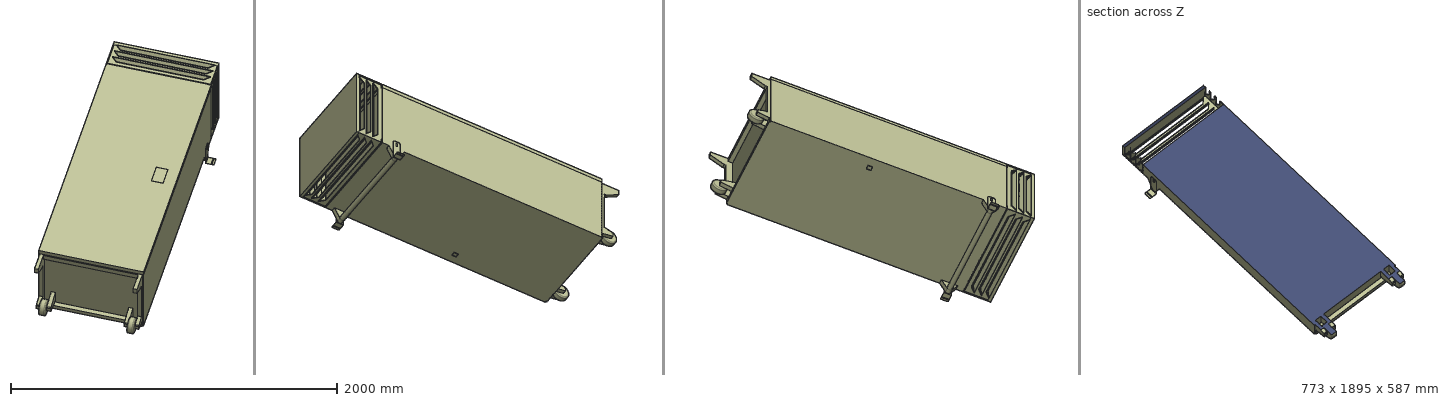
import cadquery as cq
import math

TOTAL_LENGTH = 1895.0
TOTAL_HEIGHT = 587.0
TOTAL_WIDTH = 773.0

CASE_WIDTH = 667.0
CASE_BOTTOM = 85.0
CASE_HEIGHT = TOTAL_HEIGHT - CASE_BOTTOM
CASE_START = 129.0
CASE_SIDE = CASE_WIDTH / 2

HOOD_LENGTH = 185.0
HOOD_START = TOTAL_LENGTH - HOOD_LENGTH
HOOD_WALL = 5.0
HOOD_END_WALL = 20.0
HOOD_GAP = 5.0
HOOD_GAP_DEPTH = 28.0

LOUVER_COUNT = 3
LOUVER_PITCH = 50.0
LOUVER_MARGIN = 20.0
LOUVER_HEIGHT = 35.0
LOUVER_ANGLE = 50.0
FLAP_THICKNESS = 2.0

DOOR_THICKNESS = 28.0
DOOR_BOTTOM = TOTAL_HEIGHT - DOOR_THICKNESS
LATCH_WIDTH = 74.0
LATCH_LENGTH = 115.0
LATCH_DEPTH = 2.0
LATCH_X = 222.0
LATCH_Y = 917.0

FRAME_INSET = 8.0
FRAME_PROUD = 8.0
FRAME_SIDE = CASE_SIDE - FRAME_INSET
FRAME_FACE = CASE_START - FRAME_PROUD
FRAME_TOP_RAIL = 35.0
FRAME_BOTTOM_RAIL = 28.0
PANEL_Y = 152.0

PLATE_THICKNESS = 25.0
PLATE_INNER_SIDE = FRAME_SIDE - PLATE_THICKNESS
POST_Y = 108.0
HANDLE_TIP_Y = 4.0
HANDLE_TIP_HEIGHT = 36.0
HANDLE_ROOT_Y = 95.0
HANDLE_ROOT_HEIGHT = 85.0

WHEEL_RADIUS = 51.0
WHEEL_WIDTH = 42.0
WHEEL_ROUNDING = 8.0
WHEEL_Z = 161.0

FORK_INNER_THICKNESS = 27.0
FORK_TIP_Y = 44.0
FORK_TIP_TOP = 175.0
FORK_TIP_BOTTOM = 144.0
FORK_TOP_SLOPE = 0.26
FORK_BOTTOM_SLOPE = 0.2
FORK_TIP_CHAMFER = 5.0

FOOT_Y = 1606.0
STRAP_WIDTH = 51.0
STRAP_THICKNESS = 2.0
STRAP_TOP = 144.0
STRAP_ROUNDING = 15.0
STRAP_SLOT_WIDTH = 11.0
STRAP_SLOT_HEIGHT = 23.0
STRAP_SLOT_Z = 117.0
FOOT_ROUNDING = 5.0
FOOT_GROOVE_WIDTH = 5.0
FOOT_GROOVE_DEPTH = STRAP_THICKNESS / 2
FOOT_GROOVE_OFFSET = 13.0

GUSSET_THICKNESS = 28.0
GUSSET_HALF_WIDTH = 55.0
ROD_RADIUS = 17.0
ROD_Z = 20.0

STUD_X = 265.0
STUD_Y = 818.0
STUD_WIDTH = 27.0
STUD_LENGTH = 30.0
STUD_HEIGHT = 5.0


def block(x_range, y_range, z_range):
    """Axis-aligned box between the given limits."""
    low = [min(limits) for limits in (x_range, y_range, z_range)]
    size = [max(limits) - min(limits) for limits in (x_range, y_range, z_range)]
    return cq.Workplane("XY").box(*size, centered=False).translate(tuple(low))


def side_plate(points, x_start, x_end):
    """Plate with a (Y, Z) outline, between two X positions."""
    low = min(x_start, x_end)
    return cq.Workplane("YZ", origin=(low, 0, 0)).polyline(points).close().extrude(abs(x_end - x_start))


def louver_sheet(length, thickness):
    """Trapezoid hinged on its long edge along X, reaching toward -Y, just below Z = 0."""
    outline = [
        (-length / 2, 0),
        (length / 2, 0),
        (length / 2 - LOUVER_HEIGHT, -LOUVER_HEIGHT),
        (-length / 2 + LOUVER_HEIGHT, -LOUVER_HEIGHT),
    ]
    return cq.Workplane("XY").polyline(outline).close().extrude(-thickness)


def make_hood():
    """Open-backed hood with pressed louvers on its top, bottom and both sides."""
    middle_z = CASE_BOTTOM + CASE_HEIGHT / 2
    hood = block((-CASE_SIDE, CASE_SIDE), (HOOD_START, TOTAL_LENGTH), (CASE_BOTTOM, TOTAL_HEIGHT))
    cavity = block(
        (-CASE_SIDE + HOOD_WALL, CASE_SIDE - HOOD_WALL),
        (HOOD_START, TOTAL_LENGTH - HOOD_END_WALL),
        (CASE_BOTTOM + HOOD_WALL, TOTAL_HEIGHT - HOOD_WALL),
    )
    hood = hood.cut(cavity)

    for gap_bottom in (CASE_BOTTOM, TOTAL_HEIGHT - HOOD_GAP_DEPTH):
        gap = block(
            (-CASE_SIDE, CASE_SIDE),
            (HOOD_START, HOOD_START + HOOD_GAP),
            (gap_bottom, gap_bottom + HOOD_GAP_DEPTH),
        )
        hood = hood.cut(gap)

    walls = [
        (0, CASE_WIDTH, CASE_HEIGHT / 2),
        (90, CASE_HEIGHT, CASE_SIDE),
        (180, CASE_WIDTH, CASE_HEIGHT / 2),
        (270, CASE_HEIGHT, CASE_SIDE),
    ]
    for turn, breadth, distance in walls:
        length = breadth - 2 * LOUVER_MARGIN
        for index in range(LOUVER_COUNT):
            hinge = (0, TOTAL_LENGTH - HOOD_END_WALL - index * LOUVER_PITCH, distance)
            opening = louver_sheet(length, HOOD_WALL).translate(hinge)
            flap = louver_sheet(length, FLAP_THICKNESS)
            flap = flap.rotate((0, 0, 0), (1, 0, 0), LOUVER_ANGLE).translate(hinge)
            opening = opening.rotate((0, 0, 0), (0, 1, 0), turn).translate((0, 0, middle_z))
            flap = flap.rotate((0, 0, 0), (0, 1, 0), turn).translate((0, 0, middle_z))
            hood = hood.cut(opening).union(flap)
    return hood


def make_door():
    """Flat door with a shallow latch recess."""
    door = block((-CASE_SIDE, CASE_SIDE), (CASE_START, HOOD_START), (DOOR_BOTTOM, TOTAL_HEIGHT))
    latch = cq.Workplane("XY").box(LATCH_WIDTH, LATCH_LENGTH, LATCH_DEPTH)
    return door.cut(latch.translate((LATCH_X, LATCH_Y, TOTAL_HEIGHT - LATCH_DEPTH / 2)))


def make_shell():
    """Cabinet block with the proud end frame around its recessed panel."""
    shell = block((-CASE_SIDE, CASE_SIDE), (CASE_START, HOOD_START), (CASE_BOTTOM, DOOR_BOTTOM))
    frame = block((-FRAME_SIDE, FRAME_SIDE), (FRAME_FACE, CASE_START), (CASE_BOTTOM, DOOR_BOTTOM))
    recess = block(
        (-PLATE_INNER_SIDE, PLATE_INNER_SIDE),
        (FRAME_FACE, PANEL_Y),
        (CASE_BOTTOM + FRAME_BOTTOM_RAIL, DOOR_BOTTOM - FRAME_TOP_RAIL),
    )
    stud = block(
        (STUD_X - STUD_WIDTH / 2, STUD_X + STUD_WIDTH / 2),
        (STUD_Y - STUD_LENGTH / 2, STUD_Y + STUD_LENGTH / 2),
        (CASE_BOTTOM - STUD_HEIGHT, CASE_BOTTOM),
    )
    return shell.union(frame).cut(recess).union(stud)


def fork_top(y):
    """Height of a caster fork's upper edge at depth y."""
    return FORK_TIP_TOP + FORK_TOP_SLOPE * (y - FORK_TIP_Y)


def fork_bottom(y):
    """Height of a caster fork's lower edge at depth y."""
    return FORK_TIP_BOTTOM - FORK_BOTTOM_SLOPE * (y - FORK_TIP_Y)


def make_handle_plate(side):
    """Outer plate: carrying arm at the top, post, and outer caster fork at the bottom."""
    outline = [
        (FRAME_FACE, DOOR_BOTTOM),
        (HANDLE_TIP_Y, DOOR_BOTTOM),
        (HANDLE_TIP_Y, DOOR_BOTTOM - HANDLE_TIP_HEIGHT),
        (HANDLE_ROOT_Y, DOOR_BOTTOM - HANDLE_ROOT_HEIGHT),
        (POST_Y, DOOR_BOTTOM - HANDLE_ROOT_HEIGHT),
        (POST_Y, fork_top(POST_Y)),
        (FORK_TIP_Y + FORK_TIP_CHAMFER, FORK_TIP_TOP),
        (FORK_TIP_Y, FORK_TIP_TOP - FORK_TIP_CHAMFER),
        (FORK_TIP_Y, FORK_TIP_BOTTOM),
        (FRAME_FACE, fork_bottom(FRAME_FACE)),
    ]
    return side_plate(outline, side * PLATE_INNER_SIDE, side * FRAME_SIDE)


def make_inner_fork(side):
    """Inner caster fork, standing on the recessed panel."""
    outline = [
        (PANEL_Y, fork_top(PANEL_Y)),
        (FORK_TIP_Y + FORK_TIP_CHAMFER, FORK_TIP_TOP),
        (FORK_TIP_Y, FORK_TIP_TOP - FORK_TIP_CHAMFER),
        (FORK_TIP_Y, FORK_TIP_BOTTOM),
        (PANEL_Y, fork_bottom(PANEL_Y)),
    ]
    outer_face = PLATE_INNER_SIDE - WHEEL_WIDTH
    return side_plate(outline, side * outer_face, side * (outer_face - FORK_INNER_THICKNESS))


def make_wheel(side):
    """Wheel with rounded shoulders, filling the space between its two forks."""
    wheel = cq.Workplane("YZ").circle(WHEEL_RADIUS).extrude(WHEEL_WIDTH)
    wheel = wheel.edges().fillet(WHEEL_ROUNDING)
    center_x = side * (PLATE_INNER_SIDE - WHEEL_WIDTH / 2)
    return wheel.translate((center_x - WHEEL_WIDTH / 2, WHEEL_RADIUS, WHEEL_Z))


def make_gusset(side):
    """Tapered gusset whose flanks run tangent into the round of the cross rod."""
    drop = CASE_BOTTOM - ROD_Z
    reach = math.hypot(GUSSET_HALF_WIDTH, drop)
    tangent = math.acos(ROD_RADIUS / reach) - math.atan2(drop, GUSSET_HALF_WIDTH)
    touch_y = ROD_RADIUS * math.cos(tangent)
    touch_z = ROD_Z - ROD_RADIUS * math.sin(tangent)
    inner_face = CASE_SIDE - GUSSET_THICKNESS
    start = min(side * inner_face, side * CASE_SIDE)
    return (
        cq.Workplane("YZ", origin=(start, FOOT_Y, 0))
        .moveTo(-GUSSET_HALF_WIDTH, CASE_BOTTOM)
        .lineTo(-touch_y, touch_z)
        .threePointArc((0, ROD_Z - ROD_RADIUS), (touch_y, touch_z))
        .lineTo(GUSSET_HALF_WIDTH, CASE_BOTTOM)
        .close()
        .extrude(GUSSET_THICKNESS)
    )


def make_cross_rod():
    """Round rod joining the two gussets."""
    half_length = CASE_SIDE - GUSSET_THICKNESS
    rod = cq.Workplane("YZ").circle(ROD_RADIUS).extrude(2 * half_length)
    return rod.translate((-half_length, FOOT_Y, ROD_Z))


def make_foot(side):
    """Bent strap on the cabinet's side, turned outward at the floor."""
    y_range = (FOOT_Y - STRAP_WIDTH / 2, FOOT_Y + STRAP_WIDTH / 2)
    strap_face = CASE_SIDE + STRAP_THICKNESS
    foot_end = TOTAL_WIDTH / 2

    strap = block((CASE_SIDE, strap_face), y_range, (0, STRAP_TOP))
    strap = strap.edges("|X and >Z").fillet(STRAP_ROUNDING)
    slot = cq.Workplane("XY").box(2 * STRAP_THICKNESS, STRAP_SLOT_WIDTH, STRAP_SLOT_HEIGHT)
    strap = strap.cut(slot.translate((strap_face, FOOT_Y, STRAP_SLOT_Z)))

    flange = block((CASE_SIDE, foot_end), y_range, (0, STRAP_THICKNESS))
    flange = flange.edges("|Z and >X").fillet(FOOT_ROUNDING)
    groove_end = foot_end - FOOT_GROOVE_OFFSET
    groove = block(
        (groove_end - FOOT_GROOVE_WIDTH, groove_end),
        y_range,
        (STRAP_THICKNESS - FOOT_GROOVE_DEPTH, STRAP_THICKNESS),
    )
    foot = strap.union(flange.cut(groove))
    return foot if side > 0 else foot.mirror("YZ")


def make_cabinet():
    """Cabinet with its fixed handles, casters, feet and cross rod."""
    cabinet = make_shell()
    for side in (-1, 1):
        for make_fitting in (make_handle_plate, make_inner_fork, make_wheel, make_gusset, make_foot):
            cabinet = cabinet.union(make_fitting(side))
    return cabinet.union(make_cross_rod())


hood = make_hood()
door = make_door()
cabinet = make_cabinet()

result = cq.Compound.makeCompound([cabinet.val(), door.val(), hood.val()])